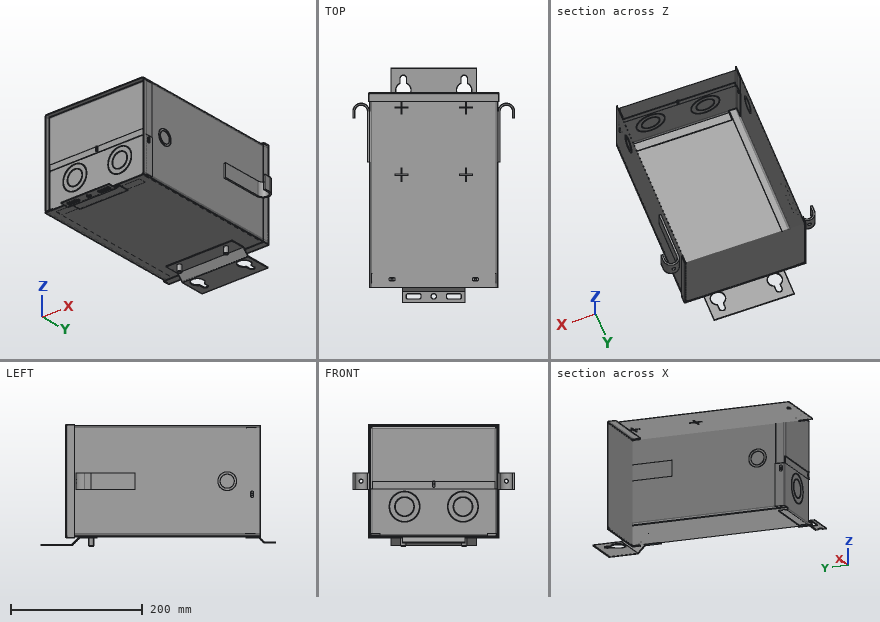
import cadquery as cq
import math

SHEET = 1.52
WIDTH = 195.26
HEIGHT = 169.2
DEPTH = 295.0
HALF_WIDTH = WIDTH / 2
INNER_HALF_WIDTH = HALF_WIDTH - SHEET

WRAP_BEND = 3.4
WRAP_INNER_BEND = WRAP_BEND - SHEET
LIP_REACH = 14.1
SCREW_Y = 12.7
TOP_SCREW_X = 63.4
SIDE_SCREW_Z = 64.7
SLOT_LENGTH = 9.5
SLOT_WIDTH = 4.8
SCREW_HOLE = 3.2
CROSS_SPAN = 20.0
CROSS_WIDTH = 1.6
CROSS_X = 48.9
CROSS_Y = (171.5, 273.5)

GROOVE_DEPTH = SHEET / 2
GROOVE_WIDTH = 0.9
SIDE_KNOCKOUT = (21.5, 28.5)
SIDE_KNOCKOUT_Y = 50.5
SIDE_KNOCKOUT_Z = HEIGHT / 2
FRONT_KNOCKOUT = (30.0, 47.0)
FRONT_KNOCKOUT_X = 44.4
FRONT_KNOCKOUT_Z = 45.9

RECESS = 5.2
FLANGE = 16.0
COVER_SHEET = 1.2
UPPER_BEND = 3.0
LOWER_BEND = 2.1
LIP_NOTCH_WIDTH = 15.6
LIP_NOTCH_TOP = SHEET + WRAP_BEND
UPPER_BOTTOM_Z = 72.9
OVERLAP = 11.4
JOINT_SCREW_Z = 80.1
JOINT_SLOT_LENGTH = 9.5
JOINT_SLOT_WIDTH = 3.8

CAP_DEPTH = 14.0
CAP_BEND = 2.3

HOOK_STOCK = 3.175
HOOK_RADIUS = 12.7
HOOK_WIDTH = 25.4
HOOK_Z = HEIGHT / 2
HOOK_ARC_Y = 267.6
HOOK_STRAP_FRONT = 190.6
HOOK_TIP_Y = 257.6
HOOK_HOLE = 5.6

REAR_BRACKET_SHEET = 1.9
REAR_BRACKET_WIDTH = 130.18
REAR_BRACKET_FRONT = 248.2
REAR_BRACKET_END = 333.46
REAR_BEND_TOP_Y = 275.5
REAR_DROP = 13.5
KEYHOLE_X = 46.2
KEYHOLE_SLOT = 9.5
KEYHOLE_HEAD = 23.0
KEYHOLE_HEAD_Y = 299.9
KEYHOLE_TIP_Y = 322.7
STUD_DIAMETER = 7.94
STUD_Y = 257.0
STUD_BOTTOM = -14.3
STUD_CHAMFER = 1.0

FRONT_BRACKET_SHEET = 1.52
FRONT_BRACKET_WIDTH = 95.25
FRONT_BRACKET_REAR = 22.0
FRONT_BRACKET_END = -22.8
FRONT_BEND_TOP_Y = 2.0
FRONT_DROP = 9.4
FRONT_SLOT_X = 30.6
FRONT_SLOT_SIZE = (22.2, 7.5)
FRONT_SLOT_CORNER = 2.2
FRONT_HOLE_Y = -13.3
FRONT_HOLE = 7.9


def block(x0, x1, y0, y1, z0, z1):
    """Box between two opposite corners."""
    return cq.Workplane("XY").box(x1 - x0, y1 - y0, z1 - z0, centered=False).translate((x0, y0, z0))


def rod(diameter, start, direction, length):
    """Cylinder from a start point along a direction."""
    return cq.Workplane(cq.Solid.makeCylinder(diameter / 2, length, cq.Vector(*start), cq.Vector(*direction)))


def ring(outer, inner, start, direction, length):
    """Tube from a start point along a direction."""
    return rod(outer, start, direction, length).cut(rod(inner, start, direction, length))


def joggled_strip(width, stock, points):
    """Sheet bent along a four-point YZ line of its upper face, offset down by its thickness."""
    (ya, za), (yb, zb), (yc, zc), (yd, zd) = points
    slope = math.atan2(abs(zc - zb), abs(yc - yb))
    shift = math.copysign(stock * math.tan(slope / 2), yb - yc)
    outline = [(ya, za), (yb, zb), (yc, zc), (yd, zd),
               (yd, zd - stock), (yc + shift, zc - stock), (yb + shift, zb - stock), (ya, za - stock)]
    return cq.Workplane("YZ").polyline(outline).close().extrude(width / 2, both=True)


def make_wrapper():
    """Top and two side walls, their lower edges turned in over the floor."""
    outer = block(-HALF_WIDTH, HALF_WIDTH, 0, DEPTH, SHEET, HEIGHT).edges("|Y").fillet(WRAP_BEND)
    inner = block(-INNER_HALF_WIDTH, INNER_HALF_WIDTH, 0, DEPTH, 2 * SHEET, HEIGHT - SHEET)
    inner = inner.edges("|Y").fillet(WRAP_INNER_BEND)
    opening = block(LIP_REACH - HALF_WIDTH, HALF_WIDTH - WRAP_BEND, 0, DEPTH, SHEET, 2 * SHEET)
    shell = outer.cut(inner).cut(opening)

    for side in (-1, 1):
        top_slot = cq.Workplane("XY").slot2D(SLOT_LENGTH, SLOT_WIDTH).extrude(SHEET)
        shell = shell.cut(top_slot.translate((side * TOP_SCREW_X, SCREW_Y, HEIGHT - SHEET)))
        side_slot = cq.Workplane("YZ").slot2D(SLOT_LENGTH, SLOT_WIDTH, 90).extrude(SHEET / 2, both=True)
        shell = shell.cut(side_slot.translate((side * (HALF_WIDTH - SHEET / 2), SCREW_Y, SIDE_SCREW_Z)))
        start = (side * HALF_WIDTH, SIDE_KNOCKOUT_Y, SIDE_KNOCKOUT_Z)
        inner_diameter, outer_diameter = SIDE_KNOCKOUT
        shell = shell.cut(ring(outer_diameter, inner_diameter, start, (-side, 0, 0), GROOVE_DEPTH))
        for y in CROSS_Y:
            for size in ((CROSS_SPAN, CROSS_WIDTH), (CROSS_WIDTH, CROSS_SPAN)):
                arm = cq.Workplane("XY").rect(*size).extrude(SHEET)
                shell = shell.cut(arm.translate((side * CROSS_X, y, HEIGHT - SHEET)))
    return shell


def front_pan(front, bottom, top, bend, flanged_end):
    """Front sheet with flanges turned to the rear along both sides and along one end (">Z" or "<Z")."""
    half = INNER_HALF_WIDTH
    inner_half = half - COVER_SHEET
    rear = front + FLANGE
    inner_bottom = bottom + COVER_SHEET if flanged_end == "<Z" else bottom
    inner_top = top - COVER_SHEET if flanged_end == ">Z" else top
    outer = block(-half, half, front, rear, bottom, top)
    inner = block(-inner_half, inner_half, front + COVER_SHEET, rear, inner_bottom, inner_top)
    outer = outer.faces("<Y").edges("|Z or " + flanged_end).fillet(bend)
    inner = inner.faces("<Y").edges("|Z or " + flanged_end).fillet(bend - COVER_SHEET)
    return outer.cut(inner)


def make_base():
    """Flat floor carrying the lower front wall, which is notched around the wrapper lips."""
    front = RECESS + COVER_SHEET
    wall = front_pan(front, SHEET, UPPER_BOTTOM_Z, LOWER_BEND, "<Z")
    notch_x = HALF_WIDTH - LIP_NOTCH_WIDTH
    for side in (-1, 1):
        inner_x, outer_x = sorted((side * notch_x, side * HALF_WIDTH))
        wall = wall.cut(block(inner_x, outer_x, 0, DEPTH, SHEET, LIP_NOTCH_TOP))
        wall = wall.cut(rod(SCREW_HOLE, (side * HALF_WIDTH, SCREW_Y, SIDE_SCREW_Z), (-side, 0, 0), 2 * SHEET))
        start = (side * FRONT_KNOCKOUT_X, front, FRONT_KNOCKOUT_Z)
        for diameter in FRONT_KNOCKOUT:
            inner_diameter = diameter - 2 * GROOVE_WIDTH
            wall = wall.cut(ring(diameter, inner_diameter, start, (0, 1, 0), COVER_SHEET / 2))

    tongue_half = INNER_HALF_WIDTH - UPPER_BEND
    tongue_top = UPPER_BOTTOM_Z + OVERLAP
    tongue = block(-tongue_half, tongue_half, front, front + COVER_SHEET, UPPER_BOTTOM_Z, tongue_top)
    wall = wall.union(tongue)
    wall = wall.cut(rod(SCREW_HOLE, (0, front, JOINT_SCREW_Z), (0, 1, 0), COVER_SHEET))

    floor = block(-HALF_WIDTH, HALF_WIDTH, 0, DEPTH, 0, SHEET)
    return floor.union(wall)


def make_upper_cover():
    """Cover lapping in front of the lower wall, its upper corners relieved for the wrapper bends."""
    top = HEIGHT - SHEET
    cover = front_pan(RECESS, UPPER_BOTTOM_Z, top, UPPER_BEND, ">Z")
    relief = cq.Workplane("XY").box(2 * WRAP_INNER_BEND, 2 * (RECESS + FLANGE), 2 * WRAP_INNER_BEND)
    for side in (-1, 1):
        cover = cover.cut(relief.translate((side * INNER_HALF_WIDTH, 0, top)))
        start = (side * TOP_SCREW_X, SCREW_Y, HEIGHT)
        cover = cover.cut(rod(SCREW_HOLE, start, (0, 0, -1), 2 * SHEET))
    slot = cq.Workplane("XZ").slot2D(JOINT_SLOT_LENGTH, JOINT_SLOT_WIDTH, 90).extrude(-COVER_SHEET)
    return cover.cut(slot.translate((0, RECESS, JOINT_SCREW_Z)))


def make_cap():
    """Pan closing the rear end, its flanges wrapping the wrapper and the floor."""
    rear = DEPTH + SHEET
    outer = block(-HALF_WIDTH - SHEET, HALF_WIDTH + SHEET, rear - CAP_DEPTH, rear, -SHEET, HEIGHT + SHEET)
    outer = outer.faces(">Y").edges().fillet(CAP_BEND)
    return outer.cut(block(-HALF_WIDTH, HALF_WIDTH, 0, DEPTH, 0, HEIGHT))


def make_hook(side):
    """Strap on a side wall ending in a half-round hook with a hole through its crown."""
    inner_radius = HOOK_RADIUS - HOOK_STOCK
    arc_x = HALF_WIDTH + HOOK_RADIUS
    strap_outer = HALF_WIDTH + HOOK_STOCK
    tip_x = HALF_WIDTH + 2 * HOOK_RADIUS
    profile = (
        cq.Workplane("XY")
        .moveTo(HALF_WIDTH, HOOK_STRAP_FRONT)
        .lineTo(HALF_WIDTH, HOOK_ARC_Y)
        .threePointArc((arc_x, HOOK_ARC_Y + HOOK_RADIUS), (tip_x, HOOK_ARC_Y))
        .lineTo(tip_x, HOOK_TIP_Y)
        .lineTo(tip_x - HOOK_STOCK, HOOK_TIP_Y)
        .lineTo(tip_x - HOOK_STOCK, HOOK_ARC_Y)
        .threePointArc((arc_x, HOOK_ARC_Y + inner_radius), (strap_outer, HOOK_ARC_Y))
        .lineTo(strap_outer, HOOK_STRAP_FRONT)
        .close()
    )
    hook = profile.extrude(HOOK_WIDTH / 2, both=True).translate((0, 0, HOOK_Z))
    hook = hook.cut(rod(HOOK_HOLE, (arc_x, HOOK_ARC_Y, HOOK_Z), (0, 1, 0), 2 * HOOK_RADIUS))
    return hook if side > 0 else hook.mirror("YZ")


def make_rear_bracket():
    """Wall bracket under the rear of the floor with two keyholes."""
    wall_plate_top = REAR_BRACKET_SHEET - REAR_DROP
    bend_bottom_y = REAR_BEND_TOP_Y - wall_plate_top
    bracket = joggled_strip(
        REAR_BRACKET_WIDTH,
        REAR_BRACKET_SHEET,
        [(REAR_BRACKET_FRONT, 0), (REAR_BEND_TOP_Y, 0),
         (bend_bottom_y, wall_plate_top), (REAR_BRACKET_END, wall_plate_top)],
    )
    slot_radius = KEYHOLE_SLOT / 2
    slot_end_y = KEYHOLE_TIP_Y - slot_radius
    for x in (-KEYHOLE_X, KEYHOLE_X):
        slot = block(x - slot_radius, x + slot_radius, KEYHOLE_HEAD_Y, slot_end_y, -REAR_DROP, wall_plate_top)
        bracket = bracket.cut(slot)
        for diameter, y in ((KEYHOLE_SLOT, slot_end_y), (KEYHOLE_HEAD, KEYHOLE_HEAD_Y)):
            bracket = bracket.cut(rod(diameter, (x, y, -REAR_DROP), (0, 0, 1), REAR_BRACKET_SHEET))
    return bracket


def make_stud(x):
    """Round stud standing down from the mounting plate of the rear bracket."""
    length = -REAR_BRACKET_SHEET - STUD_BOTTOM
    stud = rod(STUD_DIAMETER, (x, STUD_Y, -REAR_BRACKET_SHEET), (0, 0, -1), length)
    return stud.faces("<Z").chamfer(STUD_CHAMFER)


def make_front_bracket():
    """Foot under the front edge of the floor with two slots and a centre hole."""
    foot_top = FRONT_BRACKET_SHEET - FRONT_DROP
    bend_bottom_y = FRONT_BEND_TOP_Y + foot_top
    bracket = joggled_strip(
        FRONT_BRACKET_WIDTH,
        FRONT_BRACKET_SHEET,
        [(FRONT_BRACKET_REAR, 0), (FRONT_BEND_TOP_Y, 0),
         (bend_bottom_y, foot_top), (FRONT_BRACKET_END, foot_top)],
    )
    slot = cq.Workplane("XY").rect(*FRONT_SLOT_SIZE).extrude(FRONT_BRACKET_SHEET)
    slot = slot.edges("|Z").fillet(FRONT_SLOT_CORNER)
    for x in (-FRONT_SLOT_X, FRONT_SLOT_X):
        bracket = bracket.cut(slot.translate((x, FRONT_HOLE_Y, -FRONT_DROP)))
    return bracket.cut(rod(FRONT_HOLE, (0, FRONT_HOLE_Y, -FRONT_DROP), (0, 0, 1), FRONT_BRACKET_SHEET))


wrapper = make_wrapper()
base = make_base()
upper_cover = make_upper_cover()
cap = make_cap()
hooks = [make_hook(side) for side in (-1, 1)]
rear_bracket = make_rear_bracket()
studs = [make_stud(x) for x in (-KEYHOLE_X, KEYHOLE_X)]
front_bracket = make_front_bracket()

bodies = [wrapper, base, upper_cover, cap, *hooks, rear_bracket, *studs, front_bracket]
result = cq.Compound.makeCompound([body.solids().val() for body in bodies])